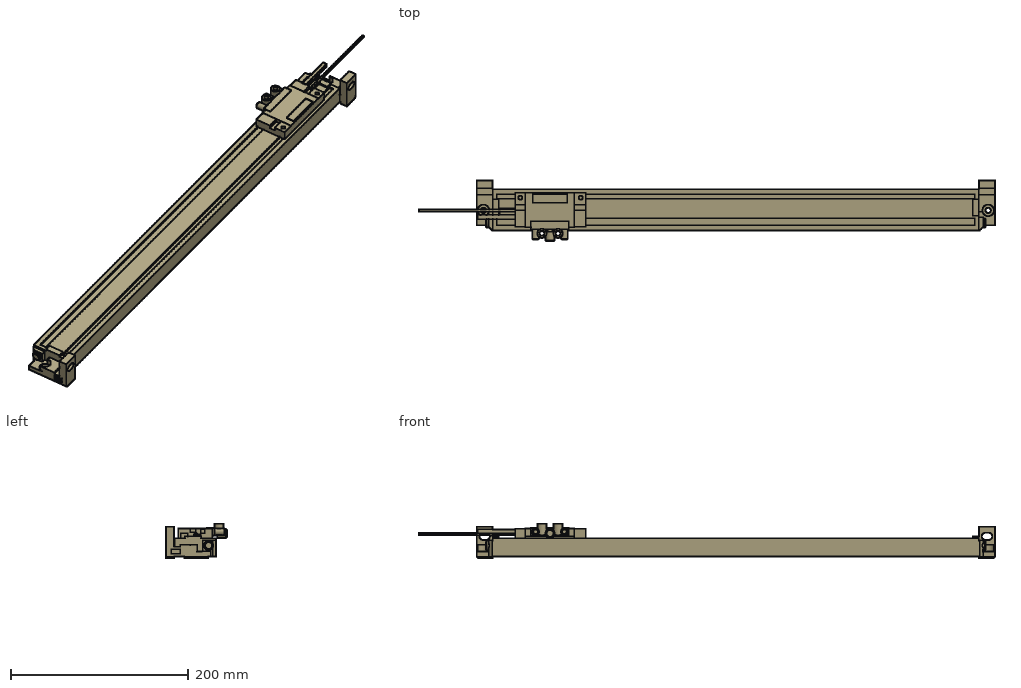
import cadquery as cq

TOTAL_LENGTH = 650
FRAME_START = 65
FRAME_MID = (FRAME_START + TOTAL_LENGTH) / 2

BRACKET_LENGTH = 18.0
RAIL_START = FRAME_START + BRACKET_LENGTH
RAIL_END = TOTAL_LENGTH - BRACKET_LENGTH
RAIL_HALF_WIDTH = 23.5
RAIL_BOTTOM = 2.0
RAIL_TOP = 23.0
CAP_LENGTH = 4.5
GROOVE_DEPTH = 2.0
BACK_GROOVE = (12.5, 17.5)
FRONT_GROOVE = (-17.5, -10.0)

PAD_LENGTH = 7.0
PAD_HEIGHT = 2.0
PAD_FRONT = -6.5
PAD_BACK = 12.0
CORNER_LENGTH = 4.5
CORNER_BACK = -8.5
CORNER_TOP = 20.0
CORNER_CHAMFER = 4.0
PLUG_RADIUS = 5.0
PLUG_LENGTH = 3.0
PLUG_CHAMFER = 1.0
PLUG_Y = -15.0
PLUG_Z = 14.0

PLATE_BACK = 33.0
PLATE_FRONT = 24.0
PLATE_HEIGHT = 36.0
PLATE_SLOT_LENGTH = 12.0
PLATE_SLOT_HEIGHT = 8.0
PLATE_SLOT_Z = 25.0
TONGUE_FRONT = -17.5
TONGUE_TOP = 15.0
WEB_TOP = 13
WEB_FRONT = 17.0
POCKET_FRONT = 17.0
POCKET_BACK = 27.0
POCKET_BOTTOM = 5.0
POCKET_TOP = 10.5
POCKET_DEPTH = 2.0
SEAT_TOP = 8.0
SEAT_BACK = -2.0
SCREW_X = FRAME_START + 8.0
SCREW_Y = -0.5
SCREW_HOLE_RADIUS = 2.9
SPOT_RADIUS = 6.5
SPOT_DEPTH = 0.5
FOOT_INSET = 2.0
FOOT_BACK = 12.5
FOOT_FRONT = -14.0

HEAD_START = 108.5
HEAD_END = 188.5
HEAD_HALF_WIDTH = 19.5
HEAD_TOP = 34.0
COVER_START = 120.0
COVER_END = 175.5
COVER_FRONT_BOTTOM = 25.0
COVER_UNDERCUT = 1.0
STEP = 0.3
NOTCH_FRONT = -0.5
NOTCH_BACK = 6.0
NOTCH_DEPTH = 4.0
HEAD_SCREW_INSET = 6.0
HEAD_SCREW_Y = 13.5
HEAD_SCREW_RADIUS = 2.3
HEAD_SCREW_DEPTH = 3.0
RECESS_DEPTH = 2.0
RECESS_FRONT = 8.5
RECESS_BACK = 16.0
RECESS_TOP = 28.0
LABEL_DEPTH = 0.5
LABEL_HALF_LENGTH = 19.5
LABEL_FRONT = 8.0
LABEL_BACK = 17.5

FITTING_X = (COVER_START + COVER_END) / 2
MOUNT_HALF_LENGTH = 21.5
MOUNT_BACK = -13
MOUNT_FRONT = -22.0
MOUNT_BOTTOM = 26
MOUNT_TOP = HEAD_TOP + STEP
UPRIGHT_OFFSET = 9.0
UPRIGHT_Y = -26.5
UPRIGHT_RADIUS = 5.0
UPRIGHT_BORE_RADIUS = 2.5
UPRIGHT_BOTTOM = 26
UPRIGHT_TOP = 39
NOZZLE_RADIUS = 5.0
NOZZLE_TIP = -36.0
NOZZLE_NECK_RADIUS = 2.5
NOZZLE_SHOULDER = -25.0
NOZZLE_Z = 28.0
NOZZLE_CHAMFER = 1.0
SIDE_NOZZLE_OFFSET = 16.0
SIDE_NOZZLE_RADIUS = 4.0
SIDE_NOZZLE_TIP = -34.0
SIDE_NOZZLE_Z = 30.0

CABLE_RADIUS = 1.0
CABLE_Y = -0.5
CABLE_Z = 27.0
LEDGE_START = 91
LEDGE_FRONT = -6.0
LEDGE_BACK = 2.0
LEDGE_BOTTOM = 26
BAR_START = 66.0
BAR_WIDTH = 4.5
BAR_BACK = LEDGE_FRONT
BAR_TOP = 32.5
EMBED = 2.0


def block(x0, x1, y0, y1, z0, z1):
    """Box between two opposite corners."""
    return cq.Workplane().box(x1 - x0, y1 - y0, z1 - z0, centered=False).translate((x0, y0, z0))


def rod_x(x0, x1, y, z, radius):
    """Cylinder along X."""
    return cq.Workplane("YZ", origin=(x0, y, z)).circle(radius).extrude(x1 - x0)


def rod_z(x, y, z0, z1, radius):
    """Cylinder along Z."""
    return cq.Workplane("XY", origin=(x, y, z0)).circle(radius).extrude(z1 - z0)


def rod_y(x, z, y_back, y_front, radius):
    """Cylinder along Y."""
    return cq.Workplane("XZ", origin=(x, y_back, z)).circle(radius).extrude(y_back - y_front)


def nozzle(x, z, y_back, tip_y, radius):
    """Cylinder along -Y, chamfered at its tip."""
    return rod_y(x, z, y_back, tip_y, radius).faces("<Y").chamfer(NOZZLE_CHAMFER)


def make_rail():
    rail = block(RAIL_START, RAIL_END, -RAIL_HALF_WIDTH, RAIL_HALF_WIDTH, RAIL_BOTTOM, RAIL_TOP)
    for groove_front, groove_back in (BACK_GROOVE, FRONT_GROOVE):
        rail = rail.cut(block(RAIL_START + CAP_LENGTH, RAIL_END - CAP_LENGTH,
                              groove_front, groove_back, RAIL_TOP - GROOVE_DEPTH, RAIL_TOP))
    return rail


def make_bracket():
    """Left end bracket: upright plate with a slot, and a stepped tongue with a spot-faced screw hole."""
    plate = block(FRAME_START, RAIL_START, PLATE_FRONT, PLATE_BACK, 0, PLATE_HEIGHT)
    plate = plate.edges("|Y and <X and <Z").chamfer(FOOT_INSET)
    slot = (
        cq.Workplane("XZ", origin=(FRAME_START + BRACKET_LENGTH / 2, PLATE_BACK, PLATE_SLOT_Z))
        .slot2D(PLATE_SLOT_LENGTH, PLATE_SLOT_HEIGHT)
        .extrude(PLATE_BACK - PLATE_FRONT)
    )
    plate = plate.cut(slot)

    web = block(FRAME_START, RAIL_START, WEB_FRONT, PLATE_FRONT, RAIL_BOTTOM, WEB_TOP)
    tongue = block(FRAME_START, RAIL_START, TONGUE_FRONT, WEB_FRONT, RAIL_BOTTOM, TONGUE_TOP)
    tongue = tongue.cut(block(FRAME_START, RAIL_START, TONGUE_FRONT, SEAT_BACK, SEAT_TOP, TONGUE_TOP))
    tongue = tongue.cut(rod_z(SCREW_X, SCREW_Y, SEAT_TOP - SPOT_DEPTH, TONGUE_TOP, SPOT_RADIUS))
    foot = block(FRAME_START + FOOT_INSET, RAIL_START, FOOT_FRONT, FOOT_BACK, 0, RAIL_BOTTOM)

    bracket = plate.union(web).union(tongue).union(foot)
    bracket = bracket.cut(block(FRAME_START, FRAME_START + POCKET_DEPTH,
                                POCKET_FRONT, POCKET_BACK, POCKET_BOTTOM, POCKET_TOP))
    return bracket.cut(rod_z(SCREW_X, SCREW_Y, 0, TONGUE_TOP, SCREW_HOLE_RADIUS))


def make_rail_end():
    """Left bracket with the pad, corner block and plug of the same rail end."""
    pad = block(RAIL_START, RAIL_START + PAD_LENGTH, PAD_FRONT, PAD_BACK, RAIL_TOP, RAIL_TOP + PAD_HEIGHT)
    corner_start = RAIL_START - CORNER_LENGTH
    corner = block(corner_start, RAIL_START, -RAIL_HALF_WIDTH, CORNER_BACK, RAIL_BOTTOM, CORNER_TOP)
    corner = corner.edges("|Z and <X and <Y").chamfer(CORNER_CHAMFER)
    plug = rod_x(corner_start - PLUG_LENGTH, corner_start + EMBED, PLUG_Y, PLUG_Z, PLUG_RADIUS)
    plug = plug.faces("<X").chamfer(PLUG_CHAMFER)
    return [make_bracket(), pad, corner, plug]


def make_scale_frame():
    frame = make_rail()
    for piece in make_rail_end():
        frame = frame.union(piece)
        frame = frame.union(piece.mirror("YZ", (FRAME_MID, 0, 0)))
    return frame


def make_head_block():
    head = block(HEAD_START, HEAD_END, -HEAD_HALF_WIDTH, HEAD_HALF_WIDTH, RAIL_TOP, HEAD_TOP)
    end_top = HEAD_TOP - STEP
    ends = ((HEAD_START, COVER_START, HEAD_START + HEAD_SCREW_INSET),
            (COVER_END, HEAD_END, HEAD_END - HEAD_SCREW_INSET))
    for x0, x1, screw_x in ends:
        head = head.cut(block(x0, x1, -HEAD_HALF_WIDTH, HEAD_HALF_WIDTH, end_top, HEAD_TOP))
        head = head.cut(block(x0, x1, -HEAD_HALF_WIDTH, STEP - HEAD_HALF_WIDTH, RAIL_TOP, HEAD_TOP))
        head = head.cut(block(x0, x1, NOTCH_FRONT, NOTCH_BACK, end_top - NOTCH_DEPTH, end_top))
        head = head.cut(rod_z(screw_x, HEAD_SCREW_Y, end_top - HEAD_SCREW_DEPTH, end_top, HEAD_SCREW_RADIUS))
    undercut = block(COVER_START, COVER_END, -HEAD_HALF_WIDTH, COVER_UNDERCUT - HEAD_HALF_WIDTH,
                     RAIL_TOP, COVER_FRONT_BOTTOM)
    recess = block(HEAD_START, HEAD_START + RECESS_DEPTH, RECESS_FRONT, RECESS_BACK, RAIL_TOP, RECESS_TOP)
    label = block(FITTING_X - LABEL_HALF_LENGTH, FITTING_X + LABEL_HALF_LENGTH,
                  LABEL_FRONT, LABEL_BACK, HEAD_TOP - LABEL_DEPTH, HEAD_TOP)
    return head.cut(undercut).cut(recess).cut(label)


def add_fittings(head):
    head = head.union(block(FITTING_X - MOUNT_HALF_LENGTH, FITTING_X + MOUNT_HALF_LENGTH,
                            MOUNT_FRONT, MOUNT_BACK, MOUNT_BOTTOM, MOUNT_TOP))
    nozzle_root = MOUNT_FRONT + EMBED
    head = head.union(rod_y(FITTING_X, NOZZLE_Z, nozzle_root, NOZZLE_SHOULDER, NOZZLE_NECK_RADIUS))
    head = head.union(nozzle(FITTING_X, NOZZLE_Z, NOZZLE_SHOULDER, NOZZLE_TIP, NOZZLE_RADIUS))
    upright_places = [FITTING_X + side * UPRIGHT_OFFSET for side in (-1, 1)]
    for side in (-1, 1):
        side_x = FITTING_X + side * SIDE_NOZZLE_OFFSET
        head = head.union(nozzle(side_x, SIDE_NOZZLE_Z, nozzle_root, SIDE_NOZZLE_TIP, SIDE_NOZZLE_RADIUS))
    for upright_x in upright_places:
        head = head.union(rod_z(upright_x, UPRIGHT_Y, UPRIGHT_BOTTOM, UPRIGHT_TOP, UPRIGHT_RADIUS))
    for upright_x in upright_places:
        head = head.cut(rod_z(upright_x, UPRIGHT_Y, RAIL_TOP, UPRIGHT_TOP, UPRIGHT_BORE_RADIUS))
    return head


def make_reading_head():
    head = add_fittings(make_head_block())
    head = head.union(rod_x(0, HEAD_START + EMBED, CABLE_Y, CABLE_Z, CABLE_RADIUS))
    head = head.union(block(LEDGE_START, HEAD_START, LEDGE_FRONT, LEDGE_BACK, LEDGE_BOTTOM, CABLE_Z))
    bar = block(BAR_START, HEAD_START, BAR_BACK - BAR_WIDTH, BAR_BACK, BAR_TOP - BAR_WIDTH, BAR_TOP)
    return head.union(bar)


scale_frame = make_scale_frame()
reading_head = make_reading_head()
result = cq.Compound.makeCompound([scale_frame.val(), reading_head.val()])